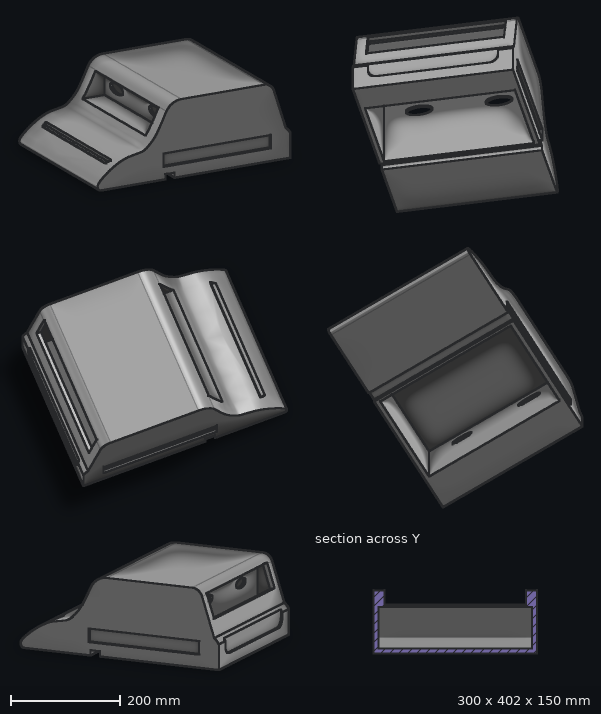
import cadquery as cq
import math

WIDTH = 300.0
LENGTH = 402.0
HEIGHT = 150.0
WALL = 9.5
PARTITION = 5.0

REAR_FACE_TOP_Z = 48.5
REAR_SHOULDER_Z = 59.5
REAR_SHOULDER_RADIUS = 32.0
REAR_LEAN = math.radians(18)
REAR_SLOPE_TOP_Y = 363.5
REAR_ROOF_RADIUS = 21.5

FRONT_LEAN = math.radians(28.6)
FRONT_ROOF_RADIUS = 35.5
FRONT_SLOPE_FOOT = (115.8, 80.5)
HOOD_CURVE = [(105.5, 69.5), (95.3, 62.5), (83.5, 59.5), (62.0, 55.0), (32.0, 40.5), (9.5, 23.0), (2.5, 15.0)]
TOE_CURVE = [(0, 8.0), (3.0, 2.0), (9.5, 0)]

RECESS_WIDTH = 241.2
RECESS_TOP_Z = 130.0
RECESS_BACK_Y = 162.0
FRONT_HOLE_X = 74.8
FRONT_HOLE_Z = 105.5
FRONT_HOLE_RADII = (25.0, 10.0)

HOOD_SLOT_BACK_Y = 42.0
HOOD_SLOT_FRONT_Y = 32.0
HOOD_SLOT_FLOOR_Z = 39.8
HOOD_SLOT_BACK_WIDTH = 249.2
HOOD_SLOT_FRONT_WIDTH = 241.2

SIDE_POCKET_Y = (138.0, 362.0)
SIDE_POCKET_Z = (25.0, 50.5)
SIDE_POCKET_DEPTH = 6.0

CHANNEL_Y = (142.0, 161.0)
CHANNEL_HEIGHT = 10.0

CAVITY_REAR_Y = 337.5

REAR_WINDOW_WIDTH = 258.5
REAR_WINDOW_Z = (90.5, 137.0)

REAR_HOLE_Z = 109.0
REAR_HOLE_HALF_HEIGHT = 9.0
REAR_HOLES = [(-70.0, 20.5), (74.5, 23.0)]

REAR_RECESS_WIDTH = 243.5
REAR_RECESS_BASE_Z = 22.5
REAR_RECESS_CORNER = 17.0
REAR_RECESS_DEPTH = 3.2


def rear_slope_y(z):
    return REAR_SLOPE_TOP_Y + (HEIGHT - z) * math.tan(REAR_LEAN)


def box(x_range, y_range, z_range):
    """Box between the given limits."""
    sizes = [high - low for low, high in (x_range, y_range, z_range)]
    corner = (x_range[0], y_range[0], z_range[0])
    return cq.Workplane("XY").box(*sizes, centered=False).translate(corner)


def centred(width):
    return (-width / 2, width / 2)


def side_plane(width):
    """Sketch plane for a (Y, Z) outline that is extruded by `width`, centred on X = 0."""
    return cq.Workplane("YZ", origin=(-width / 2, 0, 0))


def ellipse_bar(x, z, x_radius, z_radius, y_start, y_end):
    """Elliptical bar along Y."""
    plane = cq.Plane(origin=(x, y_start, z), xDir=(1, 0, 0), normal=(0, 1, 0))
    return cq.Workplane(plane).ellipse(x_radius, z_radius).extrude(y_end - y_start)


def make_body():
    """Solid with the full side outline."""
    foot_y, foot_z = FRONT_SLOPE_FOOT
    front_arc_low_z = HEIGHT - FRONT_ROOF_RADIUS * (1 - math.sin(FRONT_LEAN))
    front_arc_low_y = foot_y + (front_arc_low_z - foot_z) * math.tan(FRONT_LEAN)
    front_arc_top_y = front_arc_low_y + FRONT_ROOF_RADIUS * math.cos(FRONT_LEAN)
    rear_arc_low_z = HEIGHT - REAR_ROOF_RADIUS * (1 - math.sin(REAR_LEAN))
    rear_arc_low_y = rear_slope_y(rear_arc_low_z)
    rear_arc_top_y = rear_arc_low_y - REAR_ROOF_RADIUS * math.cos(REAR_LEAN)
    hood_points = [FRONT_SLOPE_FOOT] + HOOD_CURVE + TOE_CURVE
    front_slope_direction = (-math.sin(FRONT_LEAN), -math.cos(FRONT_LEAN))
    return (
        side_plane(WIDTH)
        .moveTo(*TOE_CURVE[-1])
        .lineTo(LENGTH, 0)
        .lineTo(LENGTH, REAR_FACE_TOP_Z)
        .radiusArc((rear_slope_y(REAR_SHOULDER_Z), REAR_SHOULDER_Z), -REAR_SHOULDER_RADIUS)
        .lineTo(rear_arc_low_y, rear_arc_low_z)
        .tangentArcPoint((rear_arc_top_y, HEIGHT), relative=False)
        .lineTo(front_arc_top_y, HEIGHT)
        .tangentArcPoint((front_arc_low_y, front_arc_low_z), relative=False)
        .spline(hood_points, tangents=[front_slope_direction, (1, 0)], includeCurrent=True)
        .close()
        .extrude(WIDTH)
    )


def make_cavity():
    """Main cavity, open at the base, between the recess wall and the rear partition."""
    y_range = (RECESS_BACK_Y + PARTITION, CAVITY_REAR_Y)
    return box(centred(WIDTH - 2 * WALL), y_range, (0, HEIGHT - WALL))


def make_front_recess():
    recess = box(centred(RECESS_WIDTH), (0, RECESS_BACK_Y), (FRONT_SLOPE_FOOT[1], RECESS_TOP_Z))
    hole_end_y = RECESS_BACK_Y + PARTITION
    for x in (-FRONT_HOLE_X, FRONT_HOLE_X):
        recess = recess.union(ellipse_bar(x, FRONT_HOLE_Z, *FRONT_HOLE_RADII, RECESS_BACK_Y, hole_end_y))
    return recess


def make_hood_slot():
    """Slot with a flat floor whose ends widen towards the back wall."""
    half_back = HOOD_SLOT_BACK_WIDTH / 2
    half_front = HOOD_SLOT_FRONT_WIDTH / 2
    plan = [
        (-half_front, HOOD_SLOT_FRONT_Y),
        (half_front, HOOD_SLOT_FRONT_Y),
        (half_back, HOOD_SLOT_BACK_Y),
        (-half_back, HOOD_SLOT_BACK_Y),
    ]
    floor = cq.Workplane("XY", origin=(0, 0, HOOD_SLOT_FLOOR_Z))
    return floor.polyline(plan).close().extrude(HEIGHT)


def make_side_pockets():
    floor_to_floor = WIDTH - 2 * SIDE_POCKET_DEPTH
    outside = box(centred(WIDTH), SIDE_POCKET_Y, SIDE_POCKET_Z)
    return outside.cut(box(centred(floor_to_floor), SIDE_POCKET_Y, SIDE_POCKET_Z))


def make_rear_chamber():
    """Chamber that follows the rear wall and the rear slope from inside."""
    front_y = CAVITY_REAR_Y + PARTITION
    rear_y = LENGTH - WALL
    roof_z = HEIGHT - WALL
    slope_offset = WALL / math.cos(REAR_LEAN)
    bend_z = HEIGHT - (rear_y + slope_offset - REAR_SLOPE_TOP_Y) / math.tan(REAR_LEAN)
    outline = [
        (front_y, WALL),
        (rear_y, WALL),
        (rear_y, bend_z),
        (rear_slope_y(roof_z) - slope_offset, roof_z),
        (front_y, roof_z),
    ]
    chamber_width = WIDTH - 2 * WALL
    return side_plane(chamber_width).polyline(outline).close().extrude(chamber_width)


def make_rear_window():
    """Window cut square to the rear slope."""
    low_z, high_z = REAR_WINDOW_Z
    middle_z = (low_z + high_z) / 2
    slope_height = (high_z - low_z) / math.cos(REAR_LEAN)
    outward = (0, math.cos(REAR_LEAN), math.sin(REAR_LEAN))
    slope = cq.Plane(origin=(0, rear_slope_y(middle_z), middle_z), xDir=(1, 0, 0), normal=outward)
    return cq.Workplane(slope).rect(REAR_WINDOW_WIDTH, slope_height).extrude(WALL, both=True)


def make_rear_holes():
    holes = cq.Workplane("XY")
    partition_y = (CAVITY_REAR_Y, CAVITY_REAR_Y + PARTITION)
    for x, half_width in REAR_HOLES:
        holes = holes.add(ellipse_bar(x, REAR_HOLE_Z, half_width, REAR_HOLE_HALF_HEIGHT, *partition_y))
    return holes.combine()


def make_rear_recess():
    depth_range = (LENGTH - REAR_RECESS_DEPTH, LENGTH)
    recess = box(centred(REAR_RECESS_WIDTH), depth_range, (REAR_RECESS_BASE_Z, HEIGHT))
    return recess.faces("<Z").edges("|Y").fillet(REAR_RECESS_CORNER)


channel = box(centred(WIDTH), CHANNEL_Y, (0, CHANNEL_HEIGHT))

result = (
    make_body()
    .cut(make_cavity())
    .cut(make_front_recess())
    .cut(make_hood_slot())
    .cut(make_side_pockets())
    .cut(channel)
    .cut(make_rear_chamber())
    .cut(make_rear_window())
    .cut(make_rear_holes())
    .cut(make_rear_recess())
)